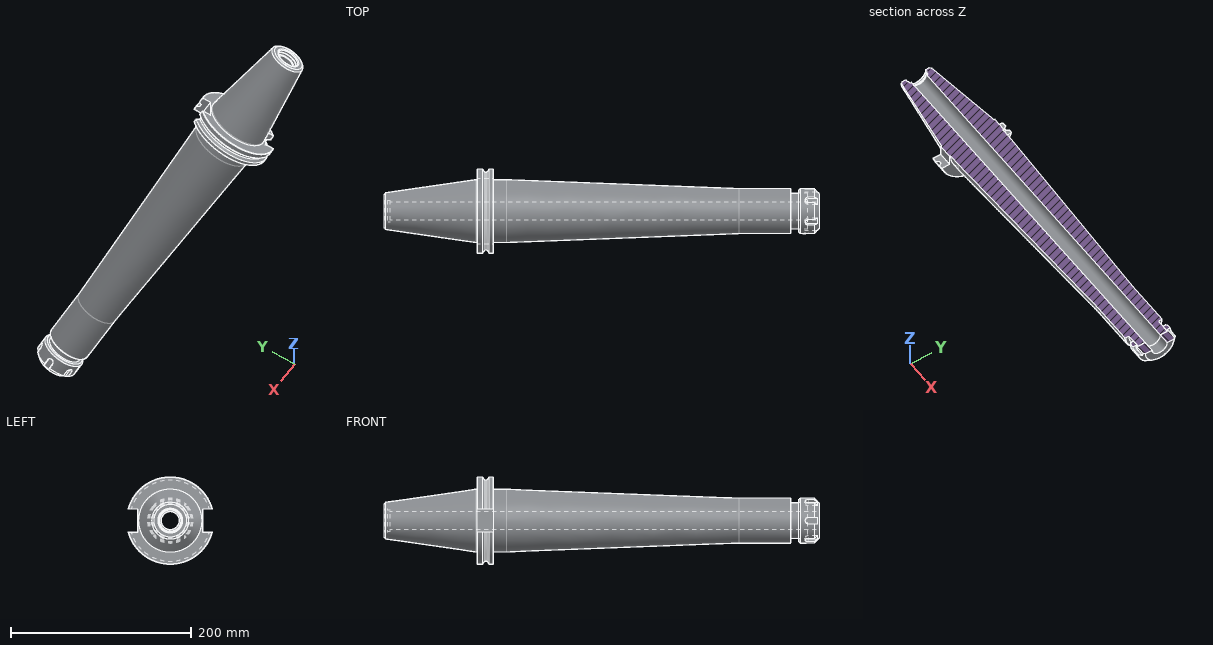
import cadquery as cq


TAPER_END = 102.0
FLANGE_START = 103.5
FLANGE_END = 121.0
COLLAR_END = 135.5
SHANK_TAPER_END = 393.5
SHANK_END = 451.5
NUT_START = 459.5
NUT_CONE_START = 477.0
NUT_END = 483.0

GAUGE_DIA = 70.0
SMALL_END_DIA = 41.0
END_FACE_DIA = 36.0
END_CHAMFER_LENGTH = 2.0

FLANGE_DIA = 97.0
FLANGE_CHAMFER = 0.5
GROOVE_CENTER = 113.0
GROOVE_WIDTH = 7.2
GROOVE_DEPTH = 3.5
GROOVE_FLOOR_WIDTH = 2.5
DRIVE_SLOT_WIDTH = 25.5
DRIVE_SLOT_FLOOR = 36.0

SHANK_DIA = 50.0
SHANK_CHAMFER = 1.0
NECK_DIA = 40.0
NECK_ENTRY = 9.5

MOUTH_DIA = 27.5
MOUTH_CHAMFER_LENGTH = 1.0
PILOT_DIA = 25.5
PILOT_DEPTH = 4.0
THREAD_DIA = 23.5
THREAD_DEPTH = 7.0
BORE_DIA = 20.0

NUT_DIA = SHANK_DIA
NUT_FACE_DIA = 38.0
NUT_CHAMFER = 2.0
NUT_SLOT_COUNT = 6
NUT_SLOT_WIDTH = 7.2
NUT_SLOT_START = 467.0
NUT_SLOT_FLOOR = 21.2

NECK_END = NUT_START + NECK_ENTRY


def revolve_profile(points):
    """Solid of revolution about X from (x, radius) points, closed along the axis."""
    first_x = points[0][0]
    last_x = points[-1][0]
    outline = [(first_x, 0), *points, (last_x, 0)]
    return cq.Workplane("XY").polyline(outline).close().revolve(360, (0, 0, 0), (1, 0, 0))


def rod(start, end, diameter):
    """Cylinder along the X axis between two stations."""
    return cq.Workplane("YZ", origin=(start, 0, 0)).circle(diameter / 2).extrude(end - start)


def turned_holder():
    gauge_radius = GAUGE_DIA / 2
    shank_radius = SHANK_DIA / 2
    return revolve_profile([
        (0, END_FACE_DIA / 2),
        (END_CHAMFER_LENGTH, SMALL_END_DIA / 2),
        (TAPER_END, gauge_radius),
        (COLLAR_END, gauge_radius),
        (SHANK_TAPER_END, shank_radius),
        (SHANK_END - SHANK_CHAMFER, shank_radius),
        (SHANK_END, shank_radius - SHANK_CHAMFER),
        (SHANK_END, NECK_DIA / 2),
        (NECK_END, NECK_DIA / 2),
    ])


def flange():
    """Drive flange with a V-groove around its rim."""
    rim_radius = FLANGE_DIA / 2
    floor_radius = rim_radius - GROOVE_DEPTH
    half_mouth = GROOVE_WIDTH / 2
    half_floor = GROOVE_FLOOR_WIDTH / 2
    return revolve_profile([
        (FLANGE_START, rim_radius - FLANGE_CHAMFER),
        (FLANGE_START + FLANGE_CHAMFER, rim_radius),
        (GROOVE_CENTER - half_mouth, rim_radius),
        (GROOVE_CENTER - half_floor, floor_radius),
        (GROOVE_CENTER + half_floor, floor_radius),
        (GROOVE_CENTER + half_mouth, rim_radius),
        (FLANGE_END - FLANGE_CHAMFER, rim_radius),
        (FLANGE_END, rim_radius - FLANGE_CHAMFER),
    ])


def drive_slot(side):
    """Cutter for the drive slot on the +Y (side = 1) or -Y (side = -1) edge of the flange."""
    length = FLANGE_END - FLANGE_START
    depth = FLANGE_DIA / 2 - DRIVE_SLOT_FLOOR
    center_x = (FLANGE_START + FLANGE_END) / 2
    center_y = side * (DRIVE_SLOT_FLOOR + depth / 2)
    return cq.Workplane("XY").box(length, depth, DRIVE_SLOT_WIDTH).translate((center_x, center_y, 0))


def stepped_bore():
    """Cutter for the through bore, stepped up towards its chamfered mouth at the taper end."""
    return revolve_profile([
        (0, MOUTH_DIA / 2),
        (MOUTH_CHAMFER_LENGTH, PILOT_DIA / 2),
        (PILOT_DEPTH, PILOT_DIA / 2),
        (PILOT_DEPTH, THREAD_DIA / 2),
        (THREAD_DEPTH, THREAD_DIA / 2),
        (THREAD_DEPTH, BORE_DIA / 2),
        (NECK_END, BORE_DIA / 2),
    ])


def make_holder():
    body = turned_holder().union(flange())
    for side in (1, -1):
        body = body.cut(drive_slot(side))
    return body.cut(stepped_bore())


def nut_slot(angle):
    """Cutter for one round-ended wrench slot, open to the front and turned about X by angle."""
    half_width = NUT_SLOT_WIDTH / 2
    arc_center = NUT_SLOT_START + half_width
    depth = NUT_DIA / 2 - NUT_SLOT_FLOOR
    cutter = (
        cq.Workplane("XY", origin=(0, 0, NUT_SLOT_FLOOR))
        .moveTo(NUT_END, -half_width)
        .lineTo(arc_center, -half_width)
        .threePointArc((NUT_SLOT_START, 0), (arc_center, half_width))
        .lineTo(NUT_END, half_width)
        .close()
        .extrude(depth)
    )
    return cutter.rotate((0, 0, 0), (1, 0, 0), angle)


def make_nut():
    outer_radius = NUT_DIA / 2
    body = revolve_profile([
        (NUT_START, outer_radius - NUT_CHAMFER),
        (NUT_START + NUT_CHAMFER, outer_radius),
        (NUT_CONE_START, outer_radius),
        (NUT_END, NUT_FACE_DIA / 2),
    ])
    body = body.cut(rod(NUT_START, NECK_END, NECK_DIA))
    body = body.cut(rod(NECK_END, NUT_END, BORE_DIA))
    for index in range(NUT_SLOT_COUNT):
        body = body.cut(nut_slot(90 + index * 360 / NUT_SLOT_COUNT))
    return body


holder = make_holder()
nut = make_nut()

result = cq.Compound.makeCompound([holder.val(), nut.val()])